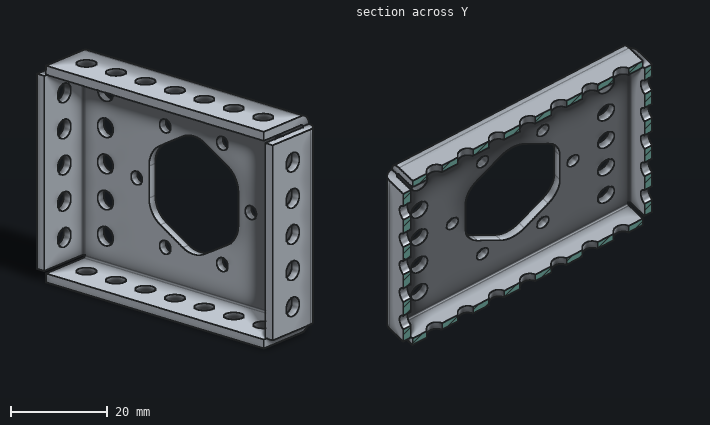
import cadquery as cq
import math

width = 64.0
height = 48.0
depth = 14.4

sheet = 2.0
inner_bend_radius = 0.4
outer_bend_radius = sheet + inner_bend_radius
plate_width = width - 2 * outer_bend_radius
plate_height = height - 2 * outer_bend_radius

pitch = 8.0
mount_hole_diameter = 4.2
side_hole_count = 5
long_hole_count = 7
plate_hole_x = 3 * pitch
flange_hole_y = -pitch

opening_z = -1.0
opening_corner_reach = 14.0
opening_corner_radius = 6.0
screw_ring_radius = 15.5
screw_hole_diameter = 3.0
screw_count = 6


def row_positions(count):
    """Positions of a row of holes at the grid pitch, centred on zero."""
    return [(i - (count - 1) / 2) * pitch for i in range(count)]


def make_plate():
    return cq.Workplane("XY").box(plate_width, sheet, plate_height).translate((0, -sheet / 2, 0))


def make_flange(reach, length, hole_count):
    """Bend and flange on the +X side, with its outer face at X = reach and its holes in a row along Z."""
    bend_x = reach - outer_bend_radius
    diagonal = math.sqrt(0.5)
    outer_mid = outer_bend_radius * diagonal
    inner_mid = inner_bend_radius * diagonal
    flange = (
        cq.Workplane("XY")
        .moveTo(bend_x, 0)
        .threePointArc(
            (bend_x + outer_mid, outer_mid - outer_bend_radius),
            (reach, -outer_bend_radius),
        )
        .lineTo(reach, -depth)
        .lineTo(reach - sheet, -depth)
        .lineTo(reach - sheet, -outer_bend_radius)
        .threePointArc(
            (bend_x + inner_mid, inner_mid - outer_bend_radius),
            (bend_x, -sheet),
        )
        .close()
        .extrude(length / 2, both=True)
    )
    holes = (
        cq.Workplane("YZ", origin=(bend_x, 0, 0))
        .pushPoints([(flange_hole_y, z) for z in row_positions(hole_count)])
        .circle(mount_hole_diameter / 2)
        .extrude(outer_bend_radius)
    )
    return flange.cut(holes)


def plate_cutter(points, diameter):
    """Round cutters through the base plate at (x, z) points."""
    return cq.Workplane("XZ").pushPoints(points).circle(diameter / 2).extrude(sheet)


def make_opening():
    """Hexagonal prism with vertical flats at the sides and rounded corners."""
    return (
        cq.Workplane("XZ")
        .polygon(6, 2 * opening_corner_reach)
        .extrude(sheet)
        .edges("|Y")
        .fillet(opening_corner_radius)
        .rotate((0, 0, 0), (0, 1, 0), 30)
        .translate((0, 0, opening_z))
    )


def screw_point(index):
    angle = 2 * math.pi * index / screw_count
    return (
        screw_ring_radius * math.cos(angle),
        opening_z + screw_ring_radius * math.sin(angle),
    )


mount_points = [(x, z) for x in (-plate_hole_x, plate_hole_x) for z in row_positions(side_hole_count)]
plate = (
    make_plate()
    .cut(plate_cutter(mount_points, mount_hole_diameter))
    .cut(plate_cutter([screw_point(i) for i in range(screw_count)], screw_hole_diameter))
    .cut(make_opening())
)

side_flange = make_flange(width / 2, plate_height, side_hole_count)
long_flange = make_flange(height / 2, plate_width, long_hole_count)
result = plate
for flange, angles in ((side_flange, (0, 180)), (long_flange, (90, 270))):
    for angle in angles:
        result = result.union(flange.rotate((0, 0, 0), (0, 1, 0), angle))